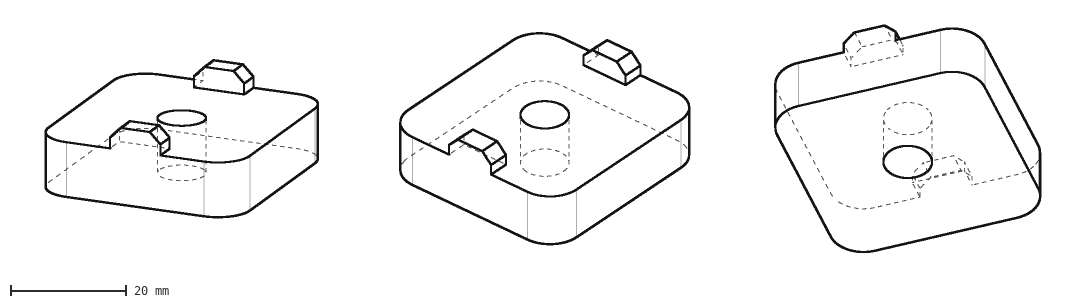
import cadquery as cq

width = 38.0
length = 40.0
base_height = 10.0
corner_radius = 6.0
hole_diameter = 8.4

tab_width = 9.5
tab_depth = 4.0
tab_height = 4.0
tab_chamfer = 2.0


def make_base():
    """Rounded block with a central through hole, resting on Z = 0."""
    block = cq.Workplane("XY").box(width, length, base_height, centered=(True, True, False))
    block = block.edges("|Z").fillet(corner_radius)
    return block.faces(">Z").workplane().hole(hole_diameter)


def make_tab(side):
    """Tab flush with the +Y (side = 1) or -Y (side = -1) end face."""
    center_y = side * (length - tab_depth) / 2
    tab = cq.Workplane("XY").box(tab_width, tab_depth, tab_height, centered=(True, True, False))
    tab = tab.faces(">Z").edges("|Y").chamfer(tab_chamfer)
    return tab.translate((0, center_y, base_height))


result = make_base()
for end in (-1, 1):
    result = result.union(make_tab(end))